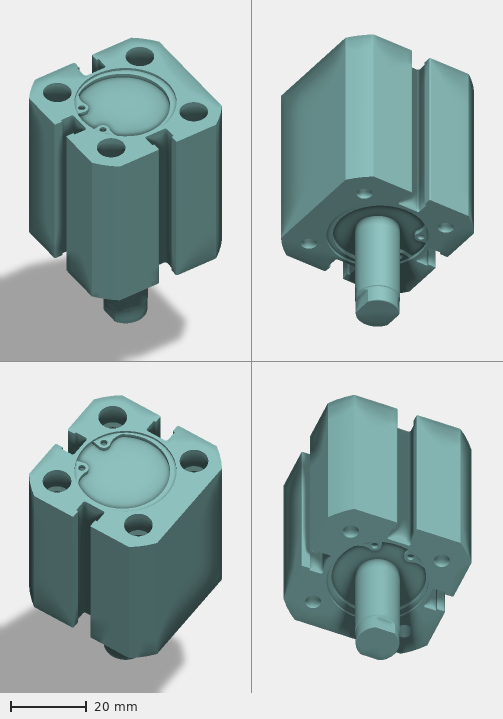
import cadquery as cq
import math

TOTAL_LENGTH = 73.5
BODY_WIDTH = 41.0
BODY_HEIGHT = 47.5
CORNER_RADIUS = 25.5
BORE_DIAMETER = 27.0

HOLE_SPACING = 26.0
HOLE_DIAMETER = 4.25
COUNTERBORE_DIAMETER = 7.6
COUNTERBORE_DEPTH = 7.0

SLOT_DEPTH = 6.1
SLOT_MOUTH_WIDTH = 5.45
SLOT_INNER_WIDTH = 6.7
SLOT_LIP = 2.35
SLOT_MOUTH_ROUND = 0.4
SLOT_INNER_ROUND = 0.6

RING_RECESS = 0.7
RING_THICKNESS = 1.25
RING_OUTER_DIAMETER = 28.6
RING_INNER_DIAMETER = 25.0
RING_INNER_OFFSET = 0.9
EAR_X = 5.15
EAR_Y = -10.45
EAR_RADIUS = 1.8
EAR_HOLE_DIAMETER = 1.9
EAR_BLEND_START_X = 10.15
EAR_BLEND_MID = (7.9, -9.05)
EAR_BLEND_ANGLE = 60.0
EAR_TOP_ANGLE = 120.0
EAR_INNER_ANGLE = 190.0
EAR_TIP_X = 4.05

COVER_THICKNESS = 5.9

ROD_DIAMETER = 12.0
TIP_DIAMETER = 11.55
TIP_LENGTH = 4.9
FLAT_WIDTH = 10.0
FLAT_LENGTH = 4.0
TIP_CHAMFER = 0.15

HALF_WIDTH = BODY_WIDTH / 2
BORE_RADIUS = BORE_DIAMETER / 2
RING_OUTER_RADIUS = RING_OUTER_DIAMETER / 2
RING_INNER_RADIUS = RING_INNER_DIAMETER / 2
ROD_RADIUS = ROD_DIAMETER / 2
TIP_RADIUS = TIP_DIAMETER / 2
BODY_TOP = TOTAL_LENGTH
BODY_BOTTOM = BODY_TOP - BODY_HEIGHT
UPPER_RING_BOTTOM = BODY_TOP - RING_RECESS - RING_THICKNESS
LOWER_RING_BOTTOM = BODY_BOTTOM + RING_RECESS
HEAD_COVER_BOTTOM = UPPER_RING_BOTTOM - COVER_THICKNESS
ROD_COVER_BOTTOM = LOWER_RING_BOTTOM + RING_THICKNESS


def disc(radius, bottom, height):
    return cq.Workplane("XY").workplane(offset=bottom).circle(radius).extrude(height)


def t_slot():
    """Cutter for the slot that opens on the -Y side."""
    def channel(width, top_y, bottom_y):
        return (
            cq.Workplane("XY").workplane(offset=BODY_BOTTOM)
            .center(0, (top_y + bottom_y) / 2)
            .rect(width, top_y - bottom_y)
            .extrude(BODY_HEIGHT)
        )

    floor_y = -HALF_WIDTH + SLOT_DEPTH
    lip_y = -HALF_WIDTH + SLOT_LIP
    mouth = channel(SLOT_MOUTH_WIDTH, floor_y, -HALF_WIDTH)
    inner = channel(SLOT_INNER_WIDTH, floor_y, lip_y).edges("|Z and >Y").fillet(SLOT_INNER_ROUND)
    return mouth.union(inner)


def mouth_corners():
    """Corners at the mouths of the three slots, as (x, y)."""
    half_mouth = SLOT_MOUTH_WIDTH / 2
    places = []
    for side in (-1, 1):
        places.append((side * half_mouth, -HALF_WIDTH))
        for end in (-1, 1):
            places.append((side * HALF_WIDTH, end * half_mouth))
    return places


def build_housing():
    housing = (
        cq.Workplane("XY").workplane(offset=BODY_BOTTOM)
        .rect(BODY_WIDTH, BODY_WIDTH)
        .extrude(BODY_HEIGHT)
        .intersect(disc(CORNER_RADIUS, BODY_BOTTOM, BODY_HEIGHT))
    )
    for angle in (-90, 0, 90):
        housing = housing.cut(t_slot().rotate((0, 0, 0), (0, 0, 1), angle))
    for x, y in mouth_corners():
        edge_middle = (x, y, (BODY_TOP + BODY_BOTTOM) / 2)
        edge = housing.edges(cq.selectors.NearestToPointSelector(edge_middle))
        housing = edge.fillet(SLOT_MOUTH_ROUND)

    housing = housing.cut(disc(BORE_RADIUS, BODY_BOTTOM, BODY_HEIGHT))
    for bottom in (LOWER_RING_BOTTOM, UPPER_RING_BOTTOM):
        housing = housing.cut(disc(RING_OUTER_RADIUS, bottom, RING_THICKNESS))

    return (
        housing.faces(">Z").workplane(origin=(0, 0, BODY_TOP))
        .rect(HOLE_SPACING, HOLE_SPACING, forConstruction=True).vertices()
        .cboreHole(HOLE_DIAMETER, COUNTERBORE_DIAMETER, COUNTERBORE_DEPTH)
    )


def build_retaining_ring(bottom):
    """Open ring with two drilled ears beside a gap on the -Y side."""
    def on_ear(side, angle):
        turn = math.radians(angle)
        return (side * (EAR_X + EAR_RADIUS * math.cos(turn)), EAR_Y + EAR_RADIUS * math.sin(turn))

    def blend_start(side):
        drop = math.sqrt(RING_INNER_RADIUS**2 - EAR_BLEND_START_X**2)
        return (side * EAR_BLEND_START_X, -RING_INNER_OFFSET - drop)

    def blend_mid(side):
        return (side * EAR_BLEND_MID[0], EAR_BLEND_MID[1])

    def gap_edge(side):
        return (side * EAR_TIP_X, -math.sqrt(RING_OUTER_RADIUS**2 - EAR_TIP_X**2))

    outline = (
        cq.Workplane("XY").workplane(offset=bottom)
        .moveTo(*gap_edge(-1))
        .threePointArc((0, RING_OUTER_RADIUS), gap_edge(1))
        .lineTo(*on_ear(1, EAR_INNER_ANGLE))
        .threePointArc(on_ear(1, EAR_TOP_ANGLE), on_ear(1, EAR_BLEND_ANGLE))
        .threePointArc(blend_mid(1), blend_start(1))
        .threePointArc((0, RING_INNER_RADIUS - RING_INNER_OFFSET), blend_start(-1))
        .threePointArc(blend_mid(-1), on_ear(-1, EAR_BLEND_ANGLE))
        .threePointArc(on_ear(-1, EAR_TOP_ANGLE), on_ear(-1, EAR_INNER_ANGLE))
        .close()
    )
    ear_holes = (
        cq.Workplane("XY").workplane(offset=bottom)
        .pushPoints([(-EAR_X, EAR_Y), (EAR_X, EAR_Y)])
        .circle(EAR_HOLE_DIAMETER / 2)
        .extrude(RING_THICKNESS)
    )
    return outline.extrude(RING_THICKNESS).cut(ear_holes)


def build_head_cover():
    return disc(BORE_RADIUS, HEAD_COVER_BOTTOM, COVER_THICKNESS)


def build_rod_cover():
    cover = disc(BORE_RADIUS, ROD_COVER_BOTTOM, COVER_THICKNESS)
    return cover.cut(disc(ROD_RADIUS, ROD_COVER_BOTTOM, COVER_THICKNESS))


def build_piston_rod():
    """Rod up to the head cover, with a turned tip and two wrench flats at +-Y."""
    shoulder = ROD_RADIUS - TIP_RADIUS
    rod = (
        cq.Workplane("XZ")
        .moveTo(0, 0)
        .lineTo(TIP_RADIUS - TIP_CHAMFER, 0)
        .lineTo(TIP_RADIUS, TIP_CHAMFER)
        .lineTo(TIP_RADIUS, TIP_LENGTH - shoulder)
        .lineTo(ROD_RADIUS, TIP_LENGTH)
        .lineTo(ROD_RADIUS, HEAD_COVER_BOTTOM)
        .lineTo(0, HEAD_COVER_BOTTOM)
        .close()
        .revolve(360, (0, 0), (0, 1))
    )
    flat_y = FLAT_WIDTH / 2
    run_out = ROD_RADIUS - flat_y
    for side in (-1, 1):
        flat = (
            cq.Workplane("YZ")
            .moveTo(side * flat_y, 0)
            .lineTo(side * flat_y, FLAT_LENGTH)
            .lineTo(side * ROD_RADIUS, FLAT_LENGTH + run_out)
            .lineTo(side * ROD_RADIUS, 0)
            .close()
            .extrude(ROD_RADIUS, both=True)
        )
        rod = rod.cut(flat)
    return rod


housing = build_housing()
rings = [build_retaining_ring(bottom) for bottom in (LOWER_RING_BOTTOM, UPPER_RING_BOTTOM)]
head_cover = build_head_cover()
rod_cover = build_rod_cover()
piston_rod = build_piston_rod()

result = cq.Compound.makeCompound([
    housing.val(),
    *[ring.val() for ring in rings],
    head_cover.val(),
    rod_cover.val(),
    piston_rod.val(),
])